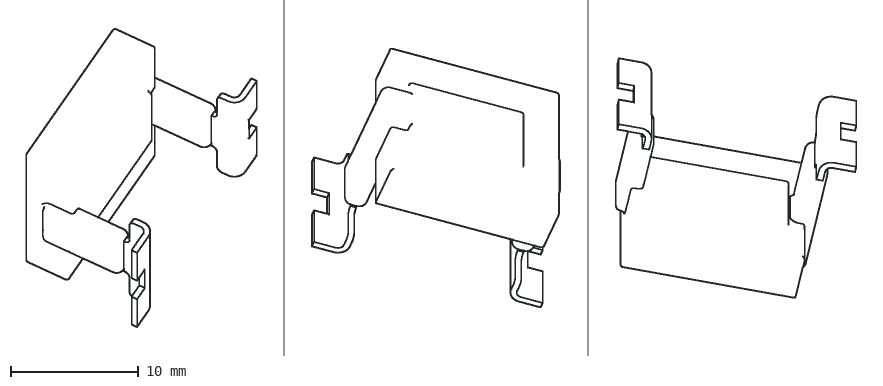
import cadquery as cq

block_x0 = 0.5
block_x1 = 4.35
block_y = 14.0
block_z = 14.5
edge_r = 0.25

pad_height = 0.5
pad_z = 6.4
pad_y_high = 5.62
front_pad_y_low = -3.88
pad_root_r = 0.24

arm_thick = 1.8
arm_z = 4.3
arm_y = 6.94
arm_end_x = 9.5
arm_corner_r = 0.65
arm_rim_r = 0.5
far_arm_root_r = 0.25
near_arm_x0 = 2.38
near_arm_root_r = 0.33
near_arm_corner_r = 0.505
arm_embed = 2.0

lead_thick = 0.5
lead_x1 = 12.0
lead_half_y = 9.5
plate_x0 = 10.0
plate_z = 10.0
plate_corner_r = 0.5
neck_z = 4.0
bend_inner_r = 0.5
notch_z = 2.5
notch_depth = 1.25

face_y = block_y / 2
front_pad_x = block_x0 - pad_height
back_pad_x = block_x1 + pad_height
arm_outer_y = arm_y + arm_thick / 2
arm_inner_y = arm_y - arm_thick / 2


def box(x0, x1, y0, y1, z_size):
    """Box centred on Z = 0 between the given X and Y limits."""
    corner_box = cq.Workplane("XY").box(x1 - x0, y1 - y0, z_size, centered=(False, False, True))
    return corner_box.translate((x0, y0, 0))


def near_pad(x0, x1, y0):
    """Selector for edges whose centre lies around a pad, between x0 and x1 and beyond y0."""
    half_z = pad_z / 2 + edge_r
    return cq.selectors.BoxSelector((x0, y0, -half_z), (x1, face_y - edge_r, half_z))


def make_core():
    """Block with a pad on each broad face; the back pad runs out flush with the -Y side."""
    core = box(block_x0, block_x1, -face_y, face_y, block_z)
    core = core.union(box(front_pad_x, block_x0, front_pad_y_low, pad_y_high, pad_z))
    core = core.union(box(block_x1, back_pad_x, -face_y, pad_y_high, pad_z))

    front_corners = near_pad(front_pad_x, block_x0, -face_y)
    core = core.edges(front_corners).edges("|X").fillet(edge_r)
    back_corners = near_pad(block_x1, back_pad_x, 0)
    core = core.edges(back_corners).edges("|X").fillet(edge_r)

    margin = 0.01
    for x in (block_x0, block_x1):
        foot = near_pad(x - margin, x + margin, -face_y - margin)
        core = core.edges(foot).fillet(pad_root_r)

    outer_edges = core.faces("<X or >X or <Y or >Y or <Z or >Z").edges("not (|X and >Y)")
    return outer_edges.fillet(edge_r)


def rounded_arm(profile):
    """Extrude an arm profile over the arm's Z width and round both of its rims."""
    arm = profile.extrude(arm_z / 2, both=True)
    return arm.faces("|Z").edges().fillet(arm_rim_r)


def make_far_arm():
    """L-shaped arm from the front pad around the +Y side of the block."""
    embed_x = block_x1 - arm_embed
    embed_y = pad_y_high - arm_embed
    return rounded_arm(
        cq.Workplane("XY")
        .moveTo(front_pad_x, embed_y)
        .lineTo(front_pad_x, arm_outer_y - arm_corner_r)
        .radiusArc((front_pad_x + arm_corner_r, arm_outer_y), arm_corner_r)
        .lineTo(arm_end_x - arm_corner_r, arm_outer_y)
        .radiusArc((arm_end_x, arm_outer_y - arm_corner_r), arm_corner_r)
        .lineTo(arm_end_x, arm_inner_y + arm_corner_r)
        .radiusArc((arm_end_x - arm_corner_r, arm_inner_y), arm_corner_r)
        .lineTo(block_x1 + far_arm_root_r, arm_inner_y)
        .radiusArc((block_x1, arm_inner_y - far_arm_root_r), -far_arm_root_r)
        .lineTo(embed_x, arm_inner_y - far_arm_root_r)
        .lineTo(embed_x, embed_y)
        .close()
    )


def make_near_arm():
    """Straight arm along the -Y side of the block, blending into that side at its start."""
    root_x = near_arm_x0 - near_arm_root_r
    return rounded_arm(
        cq.Workplane("XY")
        .moveTo(root_x, -face_y)
        .radiusArc((near_arm_x0, -face_y - near_arm_root_r), near_arm_root_r)
        .lineTo(near_arm_x0, -arm_outer_y + near_arm_corner_r)
        .radiusArc((near_arm_x0 + near_arm_corner_r, -arm_outer_y), -near_arm_corner_r)
        .lineTo(arm_end_x - arm_corner_r, -arm_outer_y)
        .radiusArc((arm_end_x, -arm_outer_y + arm_corner_r), -arm_corner_r)
        .lineTo(arm_end_x, -arm_inner_y - arm_corner_r)
        .radiusArc((arm_end_x - arm_corner_r, -arm_inner_y), -arm_corner_r)
        .lineTo(root_x, -arm_inner_y)
        .close()
    )


def make_housing():
    """Core and both arms as one solid."""
    return make_core().union(make_far_arm()).union(make_near_arm())


def lead_strip():
    """Bent strip of full plate width, from the arm end to the outward foot."""
    inner_y = arm_y - lead_thick / 2
    outer_y = arm_y + lead_thick / 2
    bend_outer_r = bend_inner_r + lead_thick
    bend_x = lead_x1 - bend_outer_r
    return (
        cq.Workplane("XY")
        .moveTo(arm_end_x, inner_y)
        .lineTo(bend_x, inner_y)
        .radiusArc((lead_x1, inner_y + bend_outer_r), -bend_outer_r)
        .lineTo(lead_x1, lead_half_y)
        .lineTo(lead_x1 - lead_thick, lead_half_y)
        .lineTo(lead_x1 - lead_thick, outer_y + bend_inner_r)
        .radiusArc((bend_x, outer_y), bend_inner_r)
        .lineTo(arm_end_x, outer_y)
        .close()
        .extrude(plate_z / 2, both=True)
    )


def neck_cut(side):
    """Waste beside the neck, above it (side = 1) or below it (side = -1)."""
    shoulder_r = plate_x0 - arm_end_x
    plate_edge_z = side * plate_z / 2
    return (
        cq.Workplane("XZ", origin=(0, arm_y, 0))
        .moveTo(arm_end_x, side * neck_z / 2)
        .radiusArc((plate_x0, side * (neck_z / 2 + shoulder_r)), -side * shoulder_r)
        .lineTo(plate_x0, plate_edge_z - side * plate_corner_r)
        .radiusArc((plate_x0 + plate_corner_r, plate_edge_z), side * plate_corner_r)
        .lineTo(arm_end_x, plate_edge_z)
        .close()
        .extrude(lead_thick, both=True)
    )


def make_lead(y_side):
    """Lead butting against the end of the arm on the +Y (1) or -Y (-1) side."""
    lead = lead_strip()
    for z_side in (1, -1):
        lead = lead.cut(neck_cut(z_side))
    lead = lead.cut(box(plate_x0, lead_x1, lead_half_y - notch_depth, lead_half_y, notch_z))
    return lead if y_side > 0 else lead.mirror("XZ")


housing = make_housing()
leads = [make_lead(y_side) for y_side in (1, -1)]

result = cq.Compound.makeCompound([housing.solids().val(), *[lead.solids().val() for lead in leads]])